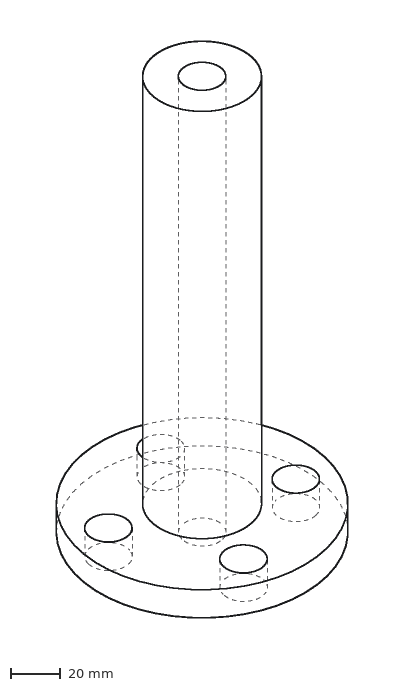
import cadquery as cq

total_height = 227.0
flange_diameter = 117.4
flange_thickness = 14.0

neck_diameter = 48.0
bore_diameter = 19.0

bolt_hole_count = 4
bolt_hole_diameter = 19.0
bolt_circle_diameter = 82.5


def make_flange():
    """Flat round flange with evenly spaced through bolt holes."""
    return (
        cq.Workplane("XY")
        .circle(flange_diameter / 2)
        .polarArray(bolt_circle_diameter / 2, 0, 360, bolt_hole_count)
        .circle(bolt_hole_diameter / 2)
        .extrude(flange_thickness)
    )


def make_neck():
    """Straight cylinder rising from the flange underside to full height."""
    return cq.Workplane("XY").circle(neck_diameter / 2).extrude(total_height)


def make_bore():
    """Cylinder removed along the full length of the axis."""
    return cq.Workplane("XY").circle(bore_diameter / 2).extrude(total_height)


result = make_flange().union(make_neck()).cut(make_bore())